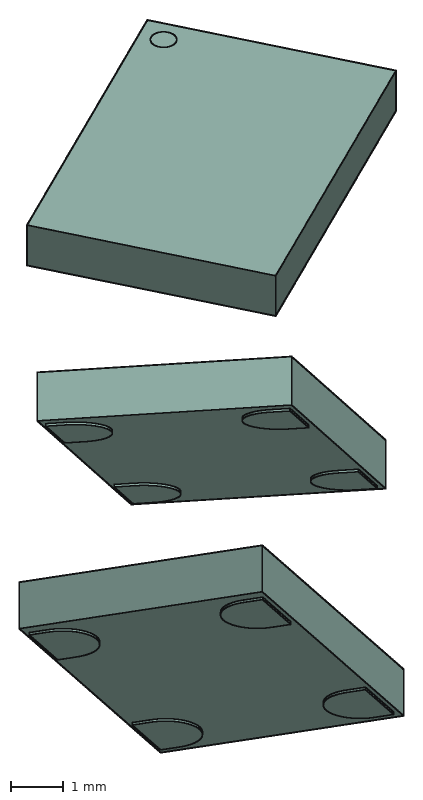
import cadquery as cq

package_width = 5.0
package_length = 7.0
overall_height = 1.0

pad_width = 1.4
pad_reach = 1.1
pad_thickness = 0.05
pad_edge_gap = 0.1
pad_pitch_y = 5.08

mark_diameter = 0.5
mark_depth = 0.05
mark_inset = 0.5

housing_height = overall_height - pad_thickness
mark_x = -package_width / 2 + mark_inset
mark_y = package_length / 2 - mark_inset


def make_pin_mark():
    """Thin disc whose top lies level with the housing top."""
    return (
        cq.Workplane("XY", origin=(mark_x, mark_y, overall_height - mark_depth))
        .circle(mark_diameter / 2)
        .extrude(mark_depth)
    )


def make_housing(pin_mark):
    """Rectangular block with a recess that fits the pin 1 mark."""
    block = (
        cq.Workplane("XY", origin=(0, 0, pad_thickness))
        .rect(package_width, package_length)
        .extrude(housing_height)
    )
    return block.cut(pin_mark)


def make_pad(side_x, side_y):
    """Pad under one corner; side_x and side_y are -1 or 1."""
    pad_y = side_y * pad_pitch_y / 2
    half_width = pad_width / 2
    outer_x = side_x * (package_width / 2 - pad_edge_gap)
    inner_x = outer_x - side_x * pad_reach
    arc_start_x = inner_x + side_x * half_width
    return (
        cq.Workplane("XY")
        .moveTo(outer_x, pad_y - half_width)
        .lineTo(arc_start_x, pad_y - half_width)
        .threePointArc((inner_x, pad_y), (arc_start_x, pad_y + half_width))
        .lineTo(outer_x, pad_y + half_width)
        .close()
        .extrude(pad_thickness)
    )


pin_mark = make_pin_mark()
housing = make_housing(pin_mark)
pads = [make_pad(side_x, side_y) for side_x in (-1, 1) for side_y in (-1, 1)]

result = cq.Compound.makeCompound(
    [housing.val(), pin_mark.val(), *[pad.val() for pad in pads]]
)